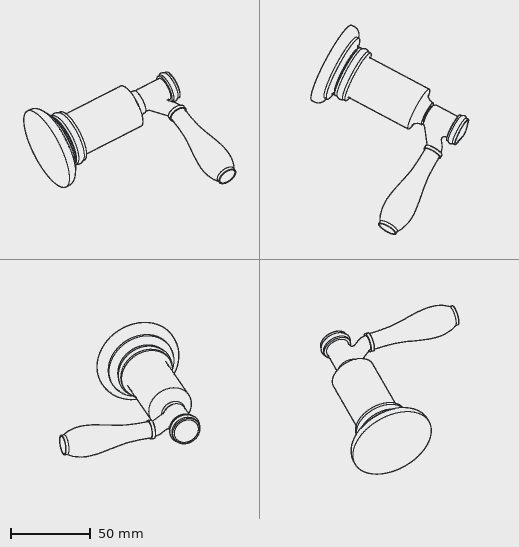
import cadquery as cq
import math


base_radius = 26.8
rim_height = 2.1
base_round = 4.4
base_top = rim_height + base_round
plinth_radius = 21.6
plinth_top = 8.2

foot_cove_radius = 15.6
foot_cove_start_radius = 21.1
foot_cove_top = 10.7
collar_bottom = 11.5
collar_radius = 17.0
collar_bead_bottom = 13.2
collar_bead_top = 17.3
collar_bead_radius = 17.8
collar_top = 19.0

barrel_radius = 14.2
barrel_lip = 0.6
barrel_bottom = 19.9
barrel_top = 62.7
shoulder_start_radius = 13.5
shoulder_radius = 7.8
shoulder_top = 68.9

neck_radius = 5.5
hub_bottom = 69.6
hub_radius = 7.5
hub_round = 2.1
cap_bottom = 87.6
cap_radius = 9.1
cap_bead_bottom = 88.9
cap_bead_top = 92.0
cap_bead_radius = 9.9
cap_top = 93.6
dome_start_radius = 8.0
dome_top = 95.5

lever_y = 84.3
arm_radius = 4.7
bend_radius = 4.9
bend_angle = 37.0
arm_straight = 18.2
arm_fillet = 2.1

hub_stub = 8.5

ferrule_start = 19.2
ferrule_end = 21.4
ferrule_radius = 6.0
grip_radius = 5.2
grip_straight_end = 29.0
swell_points = [(42.2, 6.5), (55.1, 9.0), (64.4, 9.8)]
swell_end_slope = -0.75
grip_end = 76.9
tip_radius = 6.3
tip_band_end = 78.8
tip_dome_start_radius = 5.6
lever_end = 80.0


def cove(sketch, start, end):
    """Add a concave arc from a wide lower point to a narrow upper point."""
    bow = math.sin(math.radians(45))
    width = start[0] - end[0]
    height = end[1] - start[1]
    middle = (start[0] - width * bow, end[1] - height * bow)
    return sketch.lineTo(*start).threePointArc(middle, end)


def bead(sketch, band_radius, bead_radius, bottom, top):
    """Add a convex bead between two flat bands of equal radius."""
    return sketch.lineTo(band_radius, bottom).threePointArc(
        (bead_radius, (bottom + top) / 2), (band_radius, top)
    )


def sphere_radius(rim_radius, rise):
    """Radius of the sphere whose cap has the given rim radius and rise."""
    return (rim_radius**2 + rise**2) / (2 * rise)


def make_column():
    """Revolve the base, collar, barrel and shoulder about Y."""
    profile = cq.Workplane("XY").lineTo(base_radius, 0).lineTo(base_radius, rim_height)
    profile = profile.radiusArc((base_radius - base_round, base_top), -base_round)
    profile = profile.lineTo(plinth_radius, base_top).lineTo(plinth_radius, plinth_top)
    profile = cove(profile, (foot_cove_start_radius, plinth_top), (foot_cove_radius, foot_cove_top))
    profile = profile.lineTo(foot_cove_radius, collar_bottom).lineTo(collar_radius, collar_bottom)
    profile = bead(profile, collar_radius, collar_bead_radius, collar_bead_bottom, collar_bead_top)
    profile = profile.lineTo(collar_radius, collar_top)
    profile = cove(profile, (barrel_radius + barrel_lip, collar_top), (barrel_radius, barrel_bottom))
    profile = profile.lineTo(barrel_radius, barrel_top)
    profile = cove(profile, (shoulder_start_radius, barrel_top), (shoulder_radius, shoulder_top))
    profile = profile.lineTo(neck_radius, shoulder_top).lineTo(neck_radius, hub_bottom)
    profile = profile.lineTo(0, hub_bottom).close()
    return profile.revolve(360, (0, 0, 0), (0, 1, 0))


def make_cap():
    """Beaded cap with a domed top."""
    profile = cq.Workplane("XY").moveTo(0, cap_bottom).lineTo(cap_radius, cap_bottom)
    profile = bead(profile, cap_radius, cap_bead_radius, cap_bead_bottom, cap_bead_top)
    profile = profile.lineTo(cap_radius, cap_top).lineTo(dome_start_radius, cap_top)
    dome_radius = sphere_radius(dome_start_radius, dome_top - cap_top)
    profile = profile.radiusArc((0, dome_top), -dome_radius).close()
    return profile.revolve(360, (0, 0, 0), (0, 1, 0))


def make_arm():
    """Round arm that leaves the lever along -X and bends down into the hub."""
    angle = math.radians(bend_angle)
    bend_end = (
        ferrule_start - bend_radius * math.sin(angle),
        lever_y - bend_radius * (1 - math.cos(angle)),
    )
    inner_end = (
        bend_end[0] - arm_straight * math.cos(angle),
        bend_end[1] - arm_straight * math.sin(angle),
    )
    path = cq.Workplane("XY").moveTo(ferrule_start, lever_y)
    path = path.radiusArc(bend_end, -bend_radius).lineTo(*inner_end)
    section = cq.Workplane("YZ", origin=(ferrule_start, lever_y, 0)).circle(arm_radius)
    return section.sweep(path)


def make_lever():
    """Revolve the ferrule, swelling grip and domed tip about the lever axis."""
    profile = cq.Workplane("XY", origin=(0, lever_y, 0)).moveTo(ferrule_start, 0)
    profile = profile.lineTo(ferrule_start, ferrule_radius).lineTo(ferrule_end, ferrule_radius)
    profile = profile.lineTo(ferrule_end, grip_radius).lineTo(grip_straight_end, grip_radius)
    profile = profile.spline(
        swell_points + [(grip_end, tip_radius)],
        tangents=[(1, 0), (1, swell_end_slope)],
        includeCurrent=True,
    )
    profile = profile.lineTo(tip_band_end, tip_radius).lineTo(tip_band_end, tip_dome_start_radius)
    dome_radius = sphere_radius(tip_dome_start_radius, lever_end - tip_band_end)
    profile = profile.radiusArc((lever_end, 0), dome_radius).close()
    return profile.revolve(360, (0, 0, 0), (1, 0, 0))


def make_hub_and_arm():
    """Cylindrical hub blended into the arm, then trimmed and rounded underneath."""
    stub_bottom = hub_bottom - hub_stub
    hub = cq.Workplane("XZ", origin=(0, stub_bottom, 0)).circle(hub_radius)
    hub = hub.extrude(stub_bottom - cap_bottom)
    blended = hub.union(make_arm()).edges("%BSPLINE").fillet(arm_fillet)
    trim = cq.Workplane("XZ", origin=(0, hub_bottom, 0)).circle(2 * hub_radius).extrude(2 * hub_stub)
    return blended.cut(trim).faces("<Y").edges().fillet(hub_round)


result = make_column().union(make_hub_and_arm()).union(make_cap()).union(make_lever())